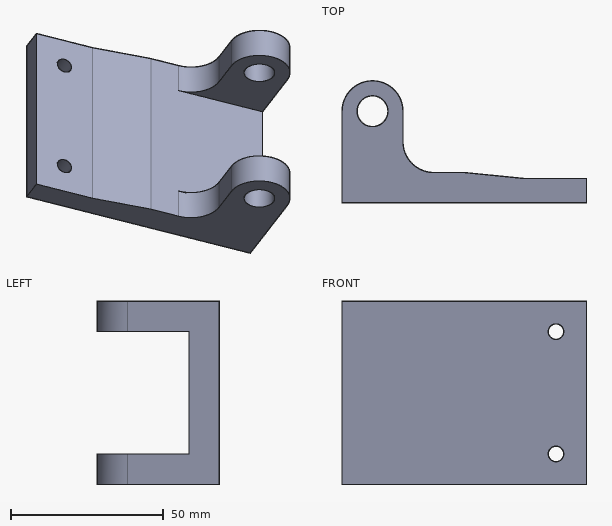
import cadquery as cq

length = 80
height = 60
thick_end = 10.0
thin_end = 8
taper_start = 40
taper_end = 60

lug_radius = 10.0
lug_width = 2 * lug_radius
lug_center_y = 30.0
lug_thickness = 10.0
lug_hole_diameter = 10.0
corner_radius = 10.0

mount_hole_diameter = lug_hole_diameter / 2
mount_hole_inset = 10.0


def bracket_profile():
    """Full-height L shape: rounded lug, filleted corner and tapered plate."""
    return (
        cq.Workplane("XY")
        .lineTo(length, 0)
        .lineTo(length, thin_end)
        .lineTo(taper_end, thin_end)
        .lineTo(taper_start, thick_end)
        .lineTo(lug_width + corner_radius, thick_end)
        .radiusArc((lug_width, thick_end + corner_radius), corner_radius)
        .lineTo(lug_width, lug_center_y)
        .threePointArc((lug_radius, lug_center_y + lug_radius), (0, lug_center_y))
        .close()
        .extrude(height)
    )


def lug_gap():
    """Block between the two lugs, down to the plate's inner face."""
    gap_length = lug_width + corner_radius
    gap_depth = lug_center_y + lug_radius - thick_end
    gap_height = height - 2 * lug_thickness
    return (
        cq.Workplane("XY")
        .box(gap_length, gap_depth, gap_height, centered=False)
        .translate((0, thick_end, lug_thickness))
    )


def lug_holes():
    """Hinge-pin bore through both lugs."""
    return (
        cq.Workplane("XY")
        .center(lug_radius, lug_center_y)
        .circle(lug_hole_diameter / 2)
        .extrude(height)
    )


def mount_holes():
    """Two holes through the plate thickness."""
    hole_x = length - mount_hole_inset
    points = [(hole_x, z) for z in (mount_hole_inset, height - mount_hole_inset)]
    return (
        cq.Workplane("XZ")
        .pushPoints(points)
        .circle(mount_hole_diameter / 2)
        .extrude(-thin_end)
    )


result = bracket_profile().cut(lug_gap()).cut(lug_holes()).cut(mount_holes())